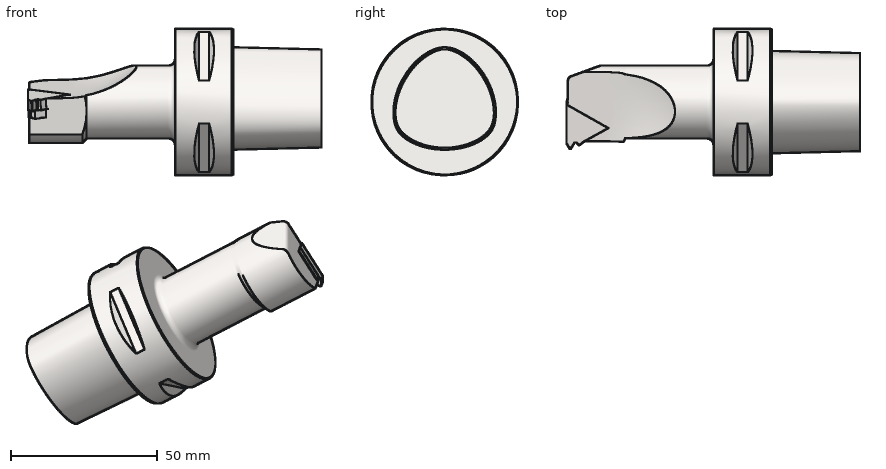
import cadquery as cq
import math


flange_radius = 25.0
flange_length = 20.0
front_chamfer = 0.3
rear_chamfer_length = 0.7
rear_chamfer_depth = 0.3

slot_count = 4
slot_first_angle = 45.0
slot_center_x = -flange_length / 2
slot_floor_width = 3.4
slot_floor_radius = 22.1
slot_side_angle = 30.0
slot_overcut = 1.0

coupling_length = 30.0
coupling_mean_radius = 17.5
coupling_lobe = 1.2
coupling_taper = 1 / 40
coupling_points = 36

shank_radius = 12.5
shank_fillet = 2.0
tip_x = -70.0
head_front_x = tip_x + 0.4
head_rear_x = -50.0
head_radius = 14.0
head_center_y = shank_radius - head_radius
head_rear_taper = head_radius - shank_radius
flank_start_y = 8.4
flank_angle = 20.0
flank_fillet = 2.0
side_flat_offset = 12.6

roll_angle = 15.0
rise_angle = 1.5
rake_height = 4.4
chip_edge_radius = 30.0
chip_edge_reach = 16.0
chip_rise_radius = 35.0
chip_clearance = 20.0

inscribed_diameter = 9.5
triangle_height = 1.5 * inscribed_diameter
triangle_half_side = triangle_height * math.tan(math.radians(30))
apex_v = -7.9
insert_thickness = 3.7
seat_thickness = 2.9
tooth_left_v = -13.4
tooth_tip = (1.3, -15.3)
tooth_tip_width = 0.2
groove_floor = (2.8, -13.1)
groove_floor_width = 0.6
second_tip = (4.3, -14.1)
edge_end_u = 6.3
seat_corner_v = -11.6
seat_nose = (2.3, -14.2)


def place_on_rake(body):
    """Move a body from rake coordinates (u, v, w) to the tool; w is the height above the rake plane."""
    body = body.rotate((0, 0, 0), (0, 1, 0), -rise_angle)
    body = body.translate((tip_x, 0, rake_height))
    return body.rotate((0, 0, 0), (1, 0, 0), roll_angle)


def lower_edge(u):
    """Point on the triangle side that runs from the apex toward the teeth."""
    return (u, apex_v - (triangle_height - u) * math.tan(math.radians(30)))


def make_flange_and_shank():
    neck_radius = shank_radius + shank_fillet
    blend = shank_fillet * (1 - math.sqrt(0.5))
    profile = (
        cq.Workplane("XY")
        .moveTo(head_rear_x, 0)
        .lineTo(head_rear_x, shank_radius)
        .lineTo(-flange_length - shank_fillet, shank_radius)
        .threePointArc(
            (-flange_length - blend, shank_radius + blend),
            (-flange_length, neck_radius),
        )
        .lineTo(-flange_length, flange_radius - front_chamfer)
        .lineTo(-flange_length + front_chamfer, flange_radius)
        .lineTo(-rear_chamfer_length, flange_radius)
        .lineTo(0, flange_radius - rear_chamfer_depth)
        .lineTo(0, 0)
        .close()
    )
    return profile.revolve(360, (0, 0, 0), (1, 0, 0))


def make_slots():
    depth = flange_radius - slot_floor_radius + slot_overcut
    half_floor = slot_floor_width / 2
    half_mouth = half_floor + depth * math.tan(math.radians(slot_side_angle))
    slot = (
        cq.Workplane("XZ")
        .polyline([
            (slot_center_x - half_floor, slot_floor_radius),
            (slot_center_x + half_floor, slot_floor_radius),
            (slot_center_x + half_mouth, slot_floor_radius + depth),
            (slot_center_x - half_mouth, slot_floor_radius + depth),
        ])
        .close()
        .extrude(flange_radius, both=True)
    )
    return [
        slot.rotate((0, 0, 0), (1, 0, 0), slot_first_angle + i * 360 / slot_count)
        for i in range(slot_count)
    ]


def lobed_point(angle, mean_radius):
    """Point of the curve whose tangent distance is mean_radius + coupling_lobe * cos(3 * angle)."""
    support = mean_radius + coupling_lobe * math.cos(3 * angle)
    slope = -3 * coupling_lobe * math.sin(3 * angle)
    y = support * math.sin(angle) + slope * math.cos(angle)
    z = support * math.cos(angle) - slope * math.sin(angle)
    return (y, z)


def make_coupling():
    end_radius = coupling_mean_radius - coupling_length * coupling_taper
    angles = [2 * math.pi * i / coupling_points for i in range(coupling_points)]
    return (
        cq.Workplane("YZ")
        .spline([lobed_point(angle, coupling_mean_radius) for angle in angles], periodic=True)
        .wire()
        .workplane(offset=coupling_length)
        .spline([lobed_point(angle, end_radius) for angle in angles], periodic=True)
        .wire()
        .loft(ruled=True)
    )


def make_head():
    bar_length = head_rear_x - head_rear_taper - head_front_x
    straight = (
        cq.Workplane("YZ", origin=(head_front_x, 0, 0))
        .center(head_center_y, 0)
        .circle(head_radius)
        .extrude(bar_length)
    )
    taper = (
        cq.Workplane("YZ", origin=(head_front_x + bar_length, head_center_y, 0))
        .circle(head_radius)
        .workplane(offset=head_rear_taper)
        .center(-head_center_y, 0)
        .circle(shank_radius)
        .loft(ruled=True)
    )
    round_bar = straight.union(taper)
    beyond_y = 2 * head_radius
    flank_length = (beyond_y - flank_start_y) / math.tan(math.radians(flank_angle))
    plan = (
        cq.Workplane("XY", origin=(0, 0, -beyond_y))
        .polyline([
            (head_front_x, -beyond_y),
            (head_front_x, flank_start_y),
            (head_front_x + flank_length, beyond_y),
            (head_front_x + flank_length, -beyond_y),
        ])
        .close()
        .extrude(2 * beyond_y)
        .edges(cq.selectors.NearestToPointSelector((head_front_x, flank_start_y, 0)))
        .fillet(flank_fillet)
    )
    return round_bar.intersect(plan)


def make_side_flat():
    length = head_rear_x - head_front_x
    cutter = cq.Workplane("XY").box(length, head_radius, 4 * head_radius, centered=(False, False, True))
    cutter = cutter.translate((head_front_x, -side_flat_offset - head_radius, 0))
    return cutter.rotate((0, 0, 0), (1, 0, 0), roll_angle)


def make_chip_cutter():
    """Round cutter with a flat bottom on the rake plane and a curved rim that runs out of the shank."""
    axis_u = chip_edge_reach - chip_edge_radius

    def rim(height):
        run = math.sqrt(chip_rise_radius**2 - (chip_rise_radius - height) ** 2)
        return (chip_edge_radius + run, height)

    cutter = (
        cq.Workplane("XZ")
        .lineTo(chip_edge_radius, 0)
        .threePointArc(rim(chip_clearance / 4), rim(chip_clearance))
        .lineTo(0, chip_clearance)
        .close()
        .revolve(360, (0, 0, 0), (0, 1, 0))
        .translate((axis_u, 0, 0))
    )
    return place_on_rake(cutter).intersect(
        cq.Workplane("YZ", origin=(-flange_length - shank_fillet, 0, 0))
        .rect(4 * flange_radius, 4 * flange_radius)
        .extrude(2 * tip_x)
    )


def make_insert():
    outline = [
        (0, apex_v + triangle_half_side),
        (triangle_height, apex_v),
        lower_edge(edge_end_u),
        second_tip,
        (groove_floor[0] + groove_floor_width, groove_floor[1]),
        groove_floor,
        (tooth_tip[0] + tooth_tip_width, tooth_tip[1]),
        (tooth_tip[0] - tooth_tip_width, tooth_tip[1]),
        (0, tooth_left_v),
    ]
    return place_on_rake(cq.Workplane("XY").polyline(outline).close().extrude(-insert_thickness))


def make_seat():
    outline = [
        (0, apex_v + triangle_half_side),
        (triangle_height, apex_v),
        lower_edge(edge_end_u),
        seat_nose,
        (0, seat_corner_v),
    ]
    seat = cq.Workplane("XY", origin=(0, 0, -insert_thickness)).polyline(outline).close()
    return place_on_rake(seat.extrude(-seat_thickness))


def make_holder(insert):
    holder = make_flange_and_shank()
    for slot in make_slots():
        holder = holder.cut(slot)
    holder = holder.union(make_coupling())
    holder = holder.union(make_head().cut(make_side_flat()))
    holder = holder.cut(make_chip_cutter())
    return holder.union(make_seat()).cut(insert)


insert = make_insert()
holder = make_holder(insert)
result = cq.Compound.makeCompound([holder.val(), insert.val()])